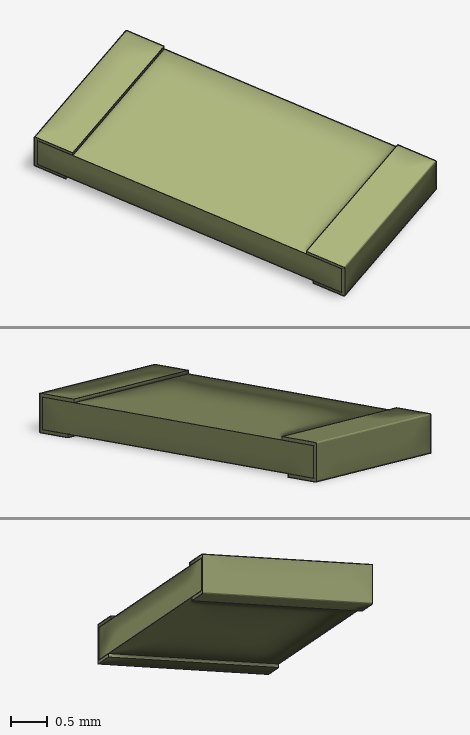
import cadquery as cq

length = 4.9
width = 2.4
height = 0.55

plating = 0.05
top_reach = 0.61
bottom_reach = 0.5
edge_radius = 0.02

body_length = length - 2 * plating
body_height = height - 2 * plating


def make_body():
    """Plain ceramic slab held between the terminals."""
    return cq.Workplane("XY").box(body_length, width, body_height)


def make_terminal(side):
    """C-shaped end cap; side is -1 for the -X end and +1 for the +X end."""
    end = side * length / 2
    inner_end = side * body_length / 2
    top_tip = end - side * top_reach
    bottom_tip = end - side * bottom_reach
    cap = (
        cq.Workplane("XZ")
        .polyline([
            (end, -height / 2),
            (end, height / 2),
            (top_tip, height / 2),
            (top_tip, body_height / 2),
            (inner_end, body_height / 2),
            (inner_end, -body_height / 2),
            (bottom_tip, -body_height / 2),
            (bottom_tip, -height / 2),
        ])
        .close()
        .extrude(width / 2, both=True)
    )
    outer_face = ">X" if side > 0 else "<X"
    return cap.faces(outer_face).edges("|Y").fillet(edge_radius)


body = make_body()
terminals = [make_terminal(side) for side in (-1, 1)]

result = cq.Compound.makeCompound([body.val(), *[terminal.val() for terminal in terminals]])